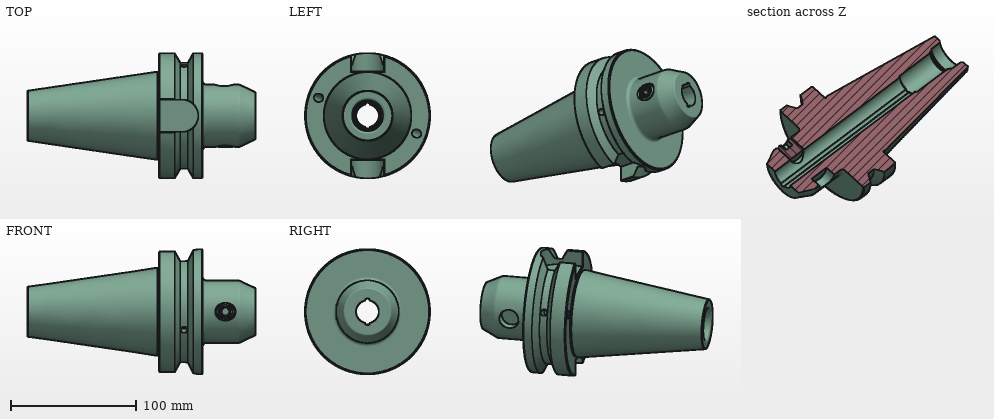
import cadquery as cq
import math

length = 181.8
taper_small_radius = 40.2 / 2
taper_large_radius = 70.0 / 2
taper_length = 101.8
taper_tip_chamfer = 0.5
land_end = 103.3
neck_start = 104.2
neck_radius = 69.3 / 2

flange_radius = 50.0
flange_start = 104.7
flange_end = 139.8
flange_chamfer = 0.9
groove_radius = 42.4
groove_start = 121.8
groove_end = 127.8
groove_wall_angle = 60.0

nose_radius = 50.0 / 2
nose_root_fillet = 2.7
nose_cone_start = 168.9
nose_cone_angle = 25.5
nose_cone_fillet = 2.7
nose_tip_fillet = 1.3

slot_width = 25.8
slot_floor = 35.5
slot_end = 136.2
slot_chamfer = 0.64

mouth_radius = 14.7
pilot_radius = 12.4
pilot_depth = 10.4
relief_radius = 11.0
relief_end = 12.9
thread_radius = 10.2
thread_depth = 47.3
bore_radius = 18.0 / 2
coolant_groove_radius = 1.8
coolant_groove_offset = 8.9

coolant_angles = (20.0, 200.0)
feed_hole_radius = 3.3
feed_hole_offset = 41.6
feed_hole_tilt = 30.0
radial_hole_radius = 2.5
radial_hole_x = (groove_start + groove_end) / 2
radial_hole_floor = 29.0

screw_x = 157.8
screw_radius = 14.0 / 2
screw_head_radius = 5.5
screw_length = 15.8
countersink_radius = 8.2
hex_across_flats = 6.0
hex_depth = 6.4
hex_chamfer_radius = 4.0
dimple_x = 156.7
dimple_radius = 7.8
dimple_depth = 9.0

quarter_arc_mid = 1 - math.sqrt(0.5)
selection_margin = 0.2


def make_turned_body():
    """Revolved outside shape of the holder, still without holes."""
    wall_run = (flange_radius - groove_radius) / math.tan(math.radians(groove_wall_angle))
    tip_radius = nose_radius - (length - nose_cone_start) * math.tan(math.radians(nose_cone_angle))
    root_x = flange_end + nose_root_fillet
    root_mid = nose_root_fillet * quarter_arc_mid
    profile = (
        cq.Workplane("XY")
        .moveTo(0, 0)
        .lineTo(0, taper_small_radius - taper_tip_chamfer)
        .lineTo(taper_tip_chamfer, taper_small_radius)
        .lineTo(taper_length, taper_large_radius)
        .lineTo(land_end, taper_large_radius)
        .lineTo(neck_start, neck_radius)
        .lineTo(flange_start, neck_radius)
        .lineTo(flange_start, flange_radius - flange_chamfer)
        .lineTo(flange_start + flange_chamfer, flange_radius)
        .lineTo(groove_start - wall_run, flange_radius)
        .lineTo(groove_start, groove_radius)
        .lineTo(groove_end, groove_radius)
        .lineTo(groove_end + wall_run, flange_radius)
        .lineTo(flange_end - flange_chamfer, flange_radius)
        .lineTo(flange_end, flange_radius - flange_chamfer)
        .lineTo(flange_end, nose_radius + nose_root_fillet)
        .threePointArc((flange_end + root_mid, nose_radius + root_mid), (root_x, nose_radius))
        .lineTo(nose_cone_start, nose_radius)
        .lineTo(length, tip_radius)
        .lineTo(length, 0)
        .close()
    )
    body = profile.revolve(360, (0, 0, 0), (1, 0, 0))
    cone_edge = cq.selectors.BoxSelector(
        (nose_cone_start - selection_margin, -flange_radius, -flange_radius),
        (nose_cone_start + selection_margin, flange_radius, flange_radius),
    )
    body = body.edges(cone_edge).fillet(nose_cone_fillet)
    return body.faces(">X").edges().fillet(nose_tip_fillet)


def make_drive_slot(side):
    """Round-ended slot cutter above (side = 1) or below (side = -1) the axis."""
    end_centre = slot_end - slot_width / 2
    depth = flange_radius - slot_floor
    box = cq.Workplane("XY").box(end_centre - taper_length, slot_width, depth, centered=(False, True, False))
    box = box.translate((taper_length, 0, slot_floor))
    end = cq.Workplane("XY", origin=(end_centre, 0, slot_floor)).circle(slot_width / 2).extrude(depth)
    mouth = (
        cq.Workplane("YZ", origin=(flange_start, 0, slot_floor + depth / 2))
        .rect(slot_width + 2 * slot_chamfer, depth + 2 * slot_chamfer)
        .workplane(offset=slot_chamfer)
        .rect(slot_width, depth)
        .loft()
    )
    outer_half_width = slot_width / 2
    rim_height = math.sqrt(flange_radius**2 - outer_half_width**2)
    rim_bevels = (
        cq.Workplane("YZ", origin=(flange_start, 0, 0))
        .moveTo(-outer_half_width, rim_height - slot_chamfer)
        .lineTo(outer_half_width, rim_height - slot_chamfer)
        .lineTo(outer_half_width + 2 * slot_chamfer, rim_height + slot_chamfer)
        .lineTo(-outer_half_width - 2 * slot_chamfer, rim_height + slot_chamfer)
        .close()
        .extrude(groove_start - flange_start)
    )
    cutter = box.union(end).union(mouth).union(rim_bevels)
    return cutter if side > 0 else cutter.mirror("XY")


def make_bore():
    """Stepped bore cutter with a flared mouth and two coolant grooves."""
    flare = mouth_radius - pilot_radius
    flare_mid = flare * quarter_arc_mid
    steps = (
        cq.Workplane("XY")
        .moveTo(0, 0)
        .lineTo(0, mouth_radius)
        .threePointArc((flare_mid, pilot_radius + flare_mid), (flare, pilot_radius))
        .lineTo(pilot_depth, pilot_radius)
        .lineTo(pilot_depth + pilot_radius - relief_radius, relief_radius)
        .lineTo(relief_end, relief_radius)
        .lineTo(relief_end + relief_radius - thread_radius, thread_radius)
        .lineTo(thread_depth, thread_radius)
        .lineTo(thread_depth, bore_radius)
        .lineTo(length, bore_radius)
        .lineTo(length, 0)
        .close()
        .revolve(360, (0, 0, 0), (1, 0, 0))
    )
    grooves = (
        cq.Workplane("YZ")
        .pushPoints([(0, coolant_groove_offset), (0, -coolant_groove_offset)])
        .circle(coolant_groove_radius)
        .extrude(length)
        .intersect(cq.Workplane("YZ", origin=(thread_depth, 0, 0)).circle(taper_small_radius).extrude(length))
    )
    return steps.union(grooves)


def make_coolant_holes(angle):
    """Tilted feed hole from the flange face and the radial hole it meets."""
    out_y = math.cos(math.radians(angle))
    out_z = math.sin(math.radians(angle))
    tilt = math.radians(feed_hole_tilt)
    run = radial_hole_x - flange_start
    feed_direction = cq.Vector(math.cos(tilt), -math.sin(tilt) * out_y, -math.sin(tilt) * out_z)
    feed_start = cq.Vector(flange_start, feed_hole_offset * out_y, feed_hole_offset * out_z)
    feed_length = run / math.cos(tilt)
    feed = cq.Solid.makeCylinder(
        feed_hole_radius, 2 * feed_length, feed_start - feed_direction * feed_length, feed_direction
    )
    radial = cq.Solid.makeCylinder(
        radial_hole_radius,
        flange_radius - radial_hole_floor,
        cq.Vector(radial_hole_x, radial_hole_floor * out_y, radial_hole_floor * out_z),
        cq.Vector(0, out_y, out_z),
    )
    return feed.fuse(radial)


def make_screw_hole():
    """Countersunk hole from the -Y side into the bore."""
    sink_depth = countersink_radius - screw_radius
    start = cq.Vector(screw_x, -nose_radius, 0)
    inward = cq.Vector(0, 1, 0)
    hole = cq.Solid.makeCylinder(screw_radius, nose_radius, start, inward)
    sink = cq.Solid.makeCone(countersink_radius, screw_radius, sink_depth, start, inward)
    return hole.fuse(sink)


def make_dimple():
    """Plain blind hole from the +Y side."""
    start = cq.Vector(dimple_x, nose_radius, 0)
    return cq.Solid.makeCylinder(dimple_radius, dimple_depth, start, cq.Vector(0, -1, 0))


def make_holder():
    holder = make_turned_body()
    for side in (1, -1):
        holder = holder.cut(make_drive_slot(side))
    holder = holder.cut(make_bore())
    for angle in coolant_angles:
        holder = holder.cut(cq.Workplane(make_coolant_holes(angle)))
    holder = holder.cut(cq.Workplane(make_screw_hole()))
    return holder.cut(cq.Workplane(make_dimple()))


def make_screw():
    """Set screw with a hexagon socket, its outer face level with the nose."""
    outer = cq.Workplane("XZ", origin=(screw_x, -nose_radius, 0))
    hex_corner_circle = hex_across_flats / math.cos(math.pi / 6)
    screw = outer.circle(screw_radius).extrude(-screw_length)
    screw = screw.faces("<Y").edges().chamfer(screw_radius - screw_head_radius)
    screw = screw.cut(outer.polygon(6, hex_corner_circle).extrude(-hex_depth))
    socket_chamfer = cq.Solid.makeCone(
        hex_chamfer_radius, 0, hex_chamfer_radius, cq.Vector(screw_x, -nose_radius, 0), cq.Vector(0, 1, 0)
    )
    return screw.cut(cq.Workplane(socket_chamfer))


holder = make_holder()
screw = make_screw()
result = cq.Compound.makeCompound([holder.solids().val(), screw.solids().val()])